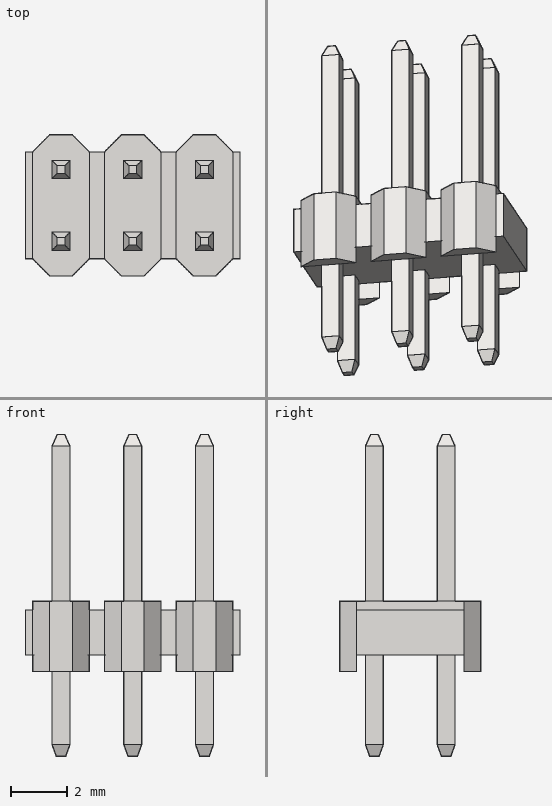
import cadquery as cq

columns = 3
rows = 2
pitch = 2.54
total_height = 11.4

block_width = 2.01
block_length = 5.0
block_flat = 0.8
corner_depth = 0.6
block_bottom = 3.0
block_top = 5.5
web_length = 7.62
web_width = block_length - 2 * corner_depth
web_bottom = 3.58
web_top = 5.19

pin_side = 0.64
top_tip_side = 0.27
bottom_tip_side = 0.34
tip_height = 0.41


def centred_positions(count):
    """Positions one pitch apart, balanced about zero."""
    return [(i - (count - 1) / 2) * pitch for i in range(count)]


def make_block(x):
    """Eight-sided block with its long axis along Y."""
    half_width = block_width / 2
    half_flat = block_flat / 2
    half_length = block_length / 2
    half_side = half_length - corner_depth
    outline = [
        (half_flat, half_length),
        (half_width, half_side),
        (half_width, -half_side),
        (half_flat, -half_length),
        (-half_flat, -half_length),
        (-half_width, -half_side),
        (-half_width, half_side),
        (-half_flat, half_length),
    ]
    return (
        cq.Workplane("XY", origin=(x, 0, block_bottom))
        .polyline(outline)
        .close()
        .extrude(block_top - block_bottom)
    )


def make_bar(bottom, top):
    """Bar with the length and width of the web."""
    return (
        cq.Workplane("XY", origin=(0, 0, bottom))
        .rect(web_length, web_width)
        .extrude(top - bottom)
    )


def make_tip(x, y, start, end, start_side, end_side):
    """Square tapered pin end between two heights."""
    return (
        cq.Workplane("XY", origin=(x, y, start))
        .rect(start_side, start_side)
        .workplane(offset=end - start)
        .rect(end_side, end_side)
        .loft(ruled=True)
    )


def make_pin(x, y):
    """Square pin, tapered at both ends."""
    shaft_top = total_height - tip_height
    shaft = (
        cq.Workplane("XY", origin=(x, y, tip_height))
        .rect(pin_side, pin_side)
        .extrude(shaft_top - tip_height)
    )
    bottom_tip = make_tip(x, y, 0, tip_height, bottom_tip_side, pin_side)
    top_tip = make_tip(x, y, shaft_top, total_height, pin_side, top_tip_side)
    return shaft.union(bottom_tip).union(top_tip)


result = make_bar(web_bottom, web_top)
for block_x in centred_positions(columns):
    result = result.union(make_block(block_x))
result = result.cut(make_bar(block_bottom, web_bottom))

for pin_x in centred_positions(columns):
    for pin_y in centred_positions(rows):
        result = result.union(make_pin(pin_x, pin_y))

result = result.translate((0, 0, -total_height / 2))